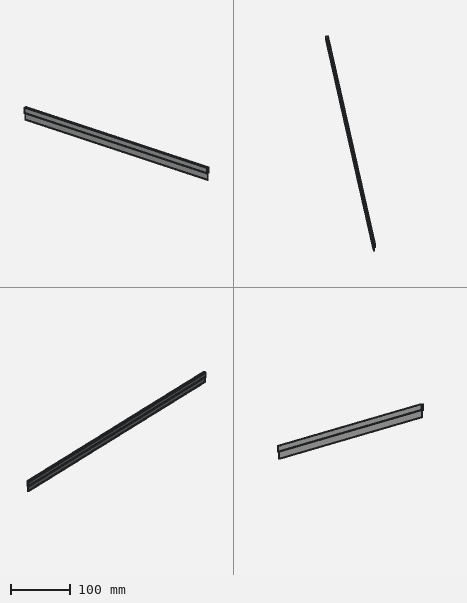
import cadquery as cq

length = 396.0
thickness = 4.0
height = 22.0

rail_height = 10.0
blade_thickness = 1.0
blade_height = height - rail_height

blade = cq.Workplane("XY").box(
    length, blade_thickness, blade_height, centered=(True, True, False)
)

rail = (
    cq.Workplane("XY", origin=(0, 0, blade_height))
    .box(length, thickness, rail_height, centered=(True, True, False))
)

result = blade.union(rail)